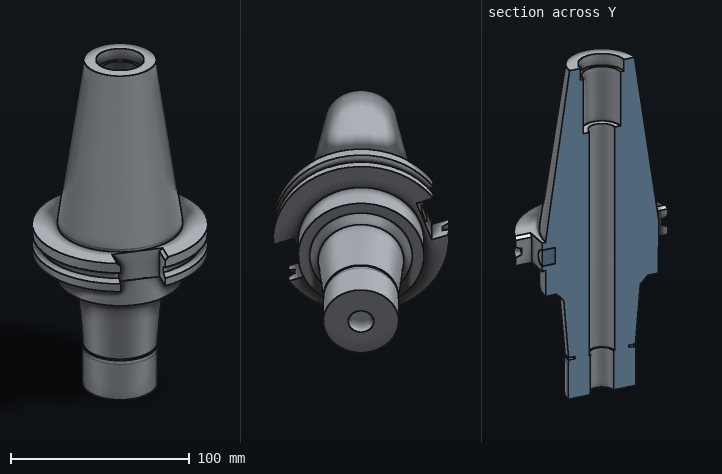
import cadquery as cq

nut_band = 22.5
nut_top = 24.5
neck_top = 25.6
cone_top = 61.8
collar_bottom = 66.5
flange_bottom = 82.5
groove_bottom = 87.4
groove_top = 94.0
flange_top = 100.2
taper_bottom = 102.0
total_height = 203.2

nut_radius = 21.1
nut_top_radius = 21.0
neck_radius = 16.9
cone_bottom_radius = 21.0
cone_top_radius = 24.0
shoulder_radius = 28.7
collar_radius = 35.2
flange_radius = 49.2
groove_radius = 45.5
taper_end_radius = 20.3
taper_ratio = 7 / 24
taper_base_radius = taper_end_radius + (total_height - taper_bottom) * taper_ratio / 2

groove_flank = 1.6

slot_width = 25.8
plug_slot_floor = 37.4
plain_slot_floor = 35.4
slot_chamfer = 1.8
plug_diameter = 9.5
plug_depth = 8.1
plug_height = 90.6

counterbore_radius = 13.5
counterbore_depth = 7.1
drawbar_radius = 11.4
drawbar_depth = 40.6
shank_radius = 7.82
mouth_radius = 7.1


def axial_cylinder(radius, bottom, top):
    return cq.Workplane("XY").workplane(offset=bottom).circle(radius).extrude(top - bottom)


def make_blank():
    outline = [
        (0, 0),
        (nut_radius, 0),
        (nut_radius, nut_band),
        (nut_top_radius, nut_top),
        (neck_radius, nut_top),
        (neck_radius, neck_top),
        (cone_bottom_radius, neck_top),
        (cone_top_radius, cone_top),
        (shoulder_radius, collar_bottom),
        (collar_radius, collar_bottom),
        (collar_radius, flange_bottom),
        (flange_radius, flange_bottom),
        (flange_radius, groove_bottom),
        (groove_radius, groove_bottom + groove_flank),
        (groove_radius, groove_top - groove_flank),
        (flange_radius, groove_top),
        (flange_radius, flange_top),
        (taper_base_radius, flange_top),
        (taper_base_radius, taper_bottom),
        (taper_end_radius, total_height),
        (0, total_height),
    ]
    return cq.Workplane("XZ").polyline(outline).close().revolve(360, (0, 0), (0, 1))


def make_slot(side, floor):
    """Drive slot through the flange, widened by a chamfer at its upper edges."""
    half = slot_width / 2
    outline = [
        (-half, flange_bottom),
        (half, flange_bottom),
        (half, flange_top - slot_chamfer),
        (half + slot_chamfer, flange_top),
        (-half - slot_chamfer, flange_top),
        (-half, flange_top - slot_chamfer),
    ]
    return (
        cq.Workplane("YZ").workplane(offset=side * floor)
        .polyline(outline).close().extrude(side * (flange_radius - floor))
    )


def make_bore():
    counterbore_floor = total_height - counterbore_depth
    drawbar_floor = total_height - drawbar_depth
    counterbore = axial_cylinder(counterbore_radius, counterbore_floor, total_height)
    drawbar_bore = axial_cylinder(drawbar_radius, drawbar_floor, counterbore_floor)
    shank_bore = axial_cylinder(shank_radius, nut_top, drawbar_floor)
    mouth = axial_cylinder(mouth_radius, 0, nut_top)
    return counterbore.union(drawbar_bore).union(shank_bore).union(mouth)


def make_plug():
    return (
        cq.Workplane("YZ", origin=(-plug_slot_floor, 0, plug_height))
        .circle(plug_diameter / 2).extrude(plug_depth)
    )


def make_holder():
    body = make_blank().cut(make_bore())
    for side, floor in ((-1, plug_slot_floor), (1, plain_slot_floor)):
        body = body.cut(make_slot(side, floor))
    return body.cut(make_plug())


holder = make_holder()
plug = make_plug()

result = cq.Compound.makeCompound([holder.val(), plug.val()])